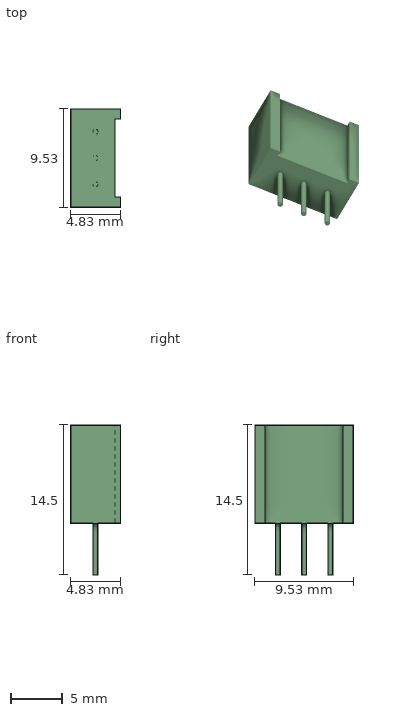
import cadquery as cq

body_thickness = 4.83
body_width = 9.53
body_height = 9.53

recess_depth = 0.53
rib_width = 1.0

pin_diameter = 0.5
pin_length = 5.0
pin_pitch = 2.54
pin_count = 3
pin_setback = 2.39


def make_body():
    """Block standing on Z = 0 with a full-height recess in its +X face."""
    block = cq.Workplane("XY").box(body_thickness, body_width, body_height, centered=(True, True, False))
    recess_width = body_width - 2 * rib_width
    recess_floor_x = body_thickness / 2 - recess_depth
    recess = (
        cq.Workplane("XY", origin=(recess_floor_x, 0, 0))
        .box(recess_depth, recess_width, body_height, centered=(False, True, False))
    )
    return block.cut(recess)


def make_pins():
    """Evenly spaced round pins hanging below Z = 0."""
    pin_x = pin_setback - body_thickness / 2
    return (
        cq.Workplane("XY", origin=(pin_x, 0, 0))
        .rarray(1, pin_pitch, 1, pin_count)
        .circle(pin_diameter / 2)
        .extrude(-pin_length)
    )


result = make_body().union(make_pins())